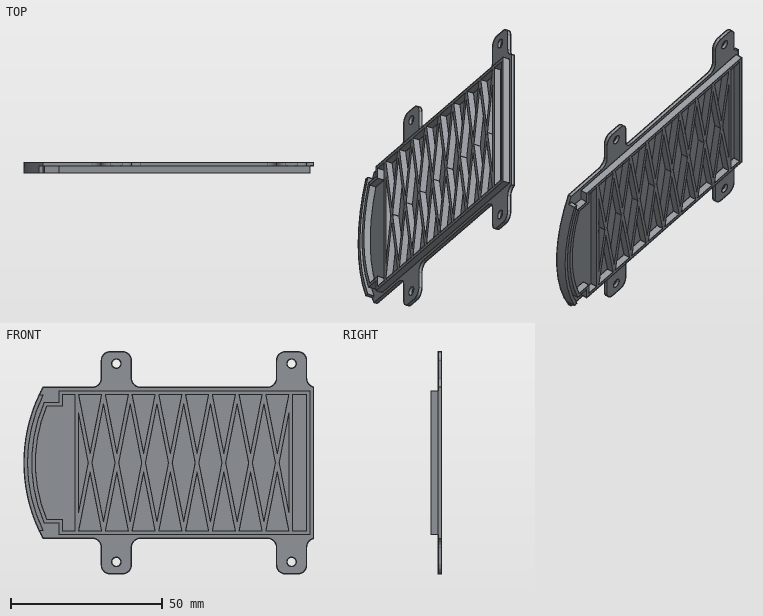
import cadquery as cq
import math

wall = 1.2
total_depth = 3.6
length = 95.9
width = 50.0
nose_radius = 52.5

frame_gap = 1.2
nose_groove = 1.4
rim_half_width = 22.4
frame_start = 11.6
nose_half_width = 20.0

lattice_start = 17.5
lattice_length = 70.8
lattice_cells = 8

tab_centers = (30.6, 88.6)
tab_width = 10.0
tab_reach = 36.8
tab_radius = 3.0
hole_diameter = 3.0
hole_inset = 4.0

half_width = width / 2
frame_half_width = half_width - frame_gap
frame_end = length - frame_gap
pocket_half_width = frame_half_width - wall


def nose_x(inset, z):
    """X of the nose arc, moved inward by inset, at the height z."""
    return nose_radius - math.sqrt((nose_radius - inset) ** 2 - z ** 2)


def nose_sketch(inset, nose_half):
    """Open sketch of the nose arc, ending at its upper corner."""
    corner_x = nose_x(inset, nose_half)
    return (
        cq.Workplane("XZ")
        .moveTo(corner_x, -nose_half)
        .threePointArc((inset, 0), (corner_x, nose_half))
    )


def nose_plate(inset, half, end_x, depth):
    """Plate with an arc nose and straight sides."""
    return (
        nose_sketch(inset, half)
        .lineTo(end_x, half)
        .lineTo(end_x, -half)
        .close()
        .extrude(depth)
    )


def stepped_block(offset):
    """Block with the frame's outer outline moved inward by offset."""
    nose_half = nose_half_width - offset
    step_x = frame_start + offset
    end_half = frame_half_width - offset
    end_x = frame_end - offset
    return (
        nose_sketch(wall + nose_groove + offset, nose_half)
        .lineTo(step_x, nose_half)
        .lineTo(step_x, end_half)
        .lineTo(end_x, end_half)
        .lineTo(end_x, -end_half)
        .lineTo(step_x, -end_half)
        .lineTo(step_x, -nose_half)
        .close()
        .extrude(total_depth)
    )


def box(center_x, size_x, size_z, depth):
    """Rectangular block centred on Z = 0."""
    return cq.Workplane("XZ").center(center_x, 0).rect(size_x, size_z).extrude(depth)


def tab_pair(center_x):
    """Strip across the plate forming two opposite tabs with rounded tips and flared roots."""
    strip = box(center_x, tab_width, 2 * tab_reach, wall).edges("|Y").fillet(tab_radius)
    root_width = tab_width + 2 * tab_radius
    flare_top = half_width + tab_radius
    roots = box(center_x, root_width, 2 * flare_top, wall)
    flare_centers = [
        (center_x + side_x * root_width / 2, side_z * flare_top)
        for side_x in (1, -1)
        for side_z in (1, -1)
    ]
    flares = cq.Workplane("XZ").pushPoints(flare_centers).circle(tab_radius).extrude(wall)
    return strip.union(roots.cut(flares))


def tab_holes():
    """Screw hole cylinders of all four tabs."""
    hole_z = tab_reach - hole_inset
    centers = [(x, z) for x in tab_centers for z in (hole_z, -hole_z)]
    return cq.Workplane("XZ").pushPoints(centers).circle(hole_diameter / 2).extrude(wall)


def base_plate():
    """Flat plate with its four tabs, trimmed at the square end."""
    plate = nose_plate(0, half_width, length, wall)
    for center_x in tab_centers:
        plate = plate.union(tab_pair(center_x))
    envelope = box(length / 2, length, 2 * tab_reach, wall)
    return plate.intersect(envelope).cut(tab_holes())


def nose_rim():
    """Curved wall along the edge of the nose."""
    end_x = nose_x(wall, rim_half_width)
    outer = nose_plate(0, rim_half_width, end_x, total_depth)
    inner = nose_plate(wall, rim_half_width, length, total_depth)
    return outer.cut(inner)


def frame():
    """Closed wall around the pocket."""
    return stepped_block(0).cut(stepped_block(wall))


def rib(start, end):
    """Straight rib between two (x, z) points, overrunning both by one wall thickness."""
    run = end[0] - start[0]
    rise = end[1] - start[1]
    rib_length = math.hypot(run, rise) + 2 * wall
    middle = ((start[0] + end[0]) / 2, (start[1] + end[1]) / 2)
    return (
        cq.Workplane("XZ")
        .center(*middle)
        .transformed(rotate=(0, 0, math.degrees(math.atan2(rise, run))))
        .rect(rib_length, wall)
        .extrude(total_depth)
    )


def lattice():
    """Two cross walls with a row of X-shaped rib pairs between them."""
    lattice_end = lattice_start + lattice_length
    cell = lattice_length / lattice_cells
    bottom = -pocket_half_width
    top = pocket_half_width
    ribs = rib((lattice_start, bottom), (lattice_start, top))
    ribs = ribs.union(rib((lattice_end, bottom), (lattice_end, top)))
    for index in range(lattice_cells):
        left = lattice_start + index * cell
        right = left + cell
        ribs = ribs.union(rib((left, bottom), (right, top)))
        ribs = ribs.union(rib((left, top), (right, bottom)))
    middle_x = (lattice_start + lattice_end) / 2
    bounds = box(middle_x, lattice_length + wall, 2 * pocket_half_width, total_depth)
    return ribs.intersect(bounds)


result = base_plate().union(nose_rim()).union(frame()).union(lattice())